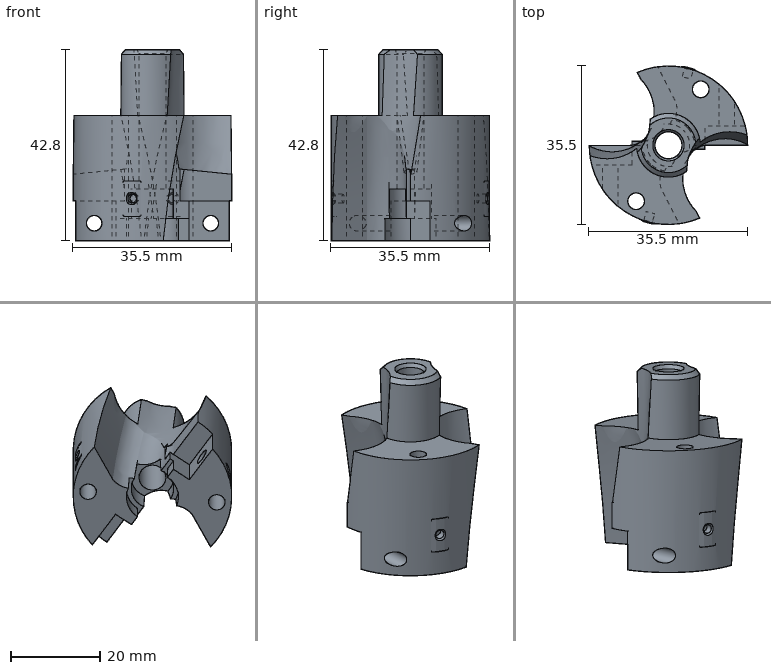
import cadquery as cq
import math

height = 42.75
body_height = 28.05
body_radius = 17.75
shank_radius = 7.15
shank_chamfer = 1.03
bore_radius = 3
bore_mouth_radius = 3.5
bore_mouth_depth = 0.85
wide_bore_depth = 5.0
stepped_bores = [(5.8, wide_bore_depth), (4.75, 11.65)]


twist_rate = 15 / body_height
flute_radius = 10.48
flute_centre_distance = 15.6
flute_angle_at_body_top = 151.5
flute_end_height = 16.68
flute_end_slope = 0.1

gullet_sweep_radius = 171.05
gullet_sweep_height = -17.1
gullet_wall_top = (1.65, 9.6)
gullet_wall_slope = 0.51
gullet_floor_middle = (1.9, 7.75)
gullet_floor_end = (0.85, 4.75)
gullet_fillet_radius = 5.8
gullet_lead_y = 0.9

seat_height = 16.08
seat_fillet_start = 6.2
seat_fillet_end = 8.55
pocket_height = 8.95
pocket_inner_x = 8.15
pocket_depth = 4.35
insert_hole_radius = 1.7
insert_hole_x = 13.05
insert_hole_z = 3.95

wing_hole_radius = 1.85
wing_hole_distance = 14.45
wing_hole_angle = 240

pad_angle = 255
pad_radius = 17.95
pad_half_width = 2.1
pad_crown_half_width = 1.0
pad_height = 7.95
pad_middle_z = 9.45
pad_corner_radius = 0.35
pad_hole_radius = 1.0
pad_hole_chamfer = 0.4
pad_hole_depth = 2.35

reach = 2 * body_radius


def both_sides(shape):
    """The shape and its copy half a turn about the part axis."""
    return shape.union(shape.rotate((0, 0, 0), (0, 0, 1), 180))


def blank():
    body = cq.Workplane().circle(body_radius).extrude(body_height)
    shank = cq.Workplane().circle(shank_radius).extrude(height).faces(">Z").chamfer(shank_chamfer)
    return body.union(shank)


def helical_flute():
    start_z = flute_end_height - flute_end_slope * reach
    start_angle = math.radians(flute_angle_at_body_top - twist_rate * (body_height - start_z))
    flute_height = height - start_z
    cutter = (
        cq.Workplane(origin=(0, 0, start_z))
        .moveTo(flute_centre_distance * math.cos(start_angle), flute_centre_distance * math.sin(start_angle))
        .circle(flute_radius)
        .twistExtrude(flute_height, twist_rate * flute_height)
    )
    below_end = (
        cq.Workplane("XZ")
        .polyline([(0, 0), (0, flute_end_height), (-reach, start_z), (-reach, 0)])
        .close()
        .extrude(reach, both=True)
    )
    return cutter.cut(below_end)


def gullet():
    shift = gullet_sweep_radius - math.sqrt(gullet_sweep_radius**2 - gullet_sweep_height**2)

    def at_start(x, y):
        return (x + shift, y)

    wall_x, wall_y = gullet_wall_top
    wall_end_x = wall_x - gullet_wall_slope * body_radius
    wall_end_y = wall_y + body_radius
    end_x, end_y = gullet_floor_end
    fillet_y = gullet_lead_y + gullet_fillet_radius
    fillet_x = end_x - math.sqrt(gullet_fillet_radius**2 - (fillet_y - end_y) ** 2)
    middle_angle = (math.atan2(end_y - fillet_y, end_x - fillet_x) - math.pi / 2) / 2
    fillet_middle = (
        fillet_x + gullet_fillet_radius * math.cos(middle_angle),
        fillet_y + gullet_fillet_radius * math.sin(middle_angle),
    )
    turn = math.degrees(math.asin((body_height - gullet_sweep_height) / (gullet_sweep_radius - reach)))
    outline = (
        cq.Workplane(origin=(0, 0, gullet_sweep_height))
        .moveTo(*at_start(wall_end_x, wall_end_y))
        .lineTo(*at_start(*gullet_wall_top))
        .threePointArc(at_start(*gullet_floor_middle), at_start(*gullet_floor_end))
        .threePointArc(at_start(*fillet_middle), at_start(fillet_x, gullet_lead_y))
        .lineTo(-reach, gullet_lead_y)
        .lineTo(-reach, wall_end_y)
        .close()
    )
    axis_x = shift - gullet_sweep_radius
    cutter = outline.revolve(turn, (axis_x, 0), (axis_x, -1))
    return cutter.intersect(cq.Workplane().circle(reach).extrude(body_height))


def insert_seat():
    run = seat_fillet_end - seat_fillet_start
    fillet_radius = (run**2 + gullet_lead_y**2) / (2 * gullet_lead_y)
    middle_x = run / 2
    middle_y = fillet_radius - math.sqrt(fillet_radius**2 - middle_x**2)
    seat = (
        cq.Workplane(origin=(0, 0, pocket_height))
        .moveTo(-seat_fillet_start, gullet_lead_y)
        .threePointArc((middle_x - seat_fillet_end, middle_y), (-seat_fillet_end, 0))
        .lineTo(-reach, 0)
        .lineTo(-reach, gullet_lead_y)
        .close()
        .extrude(seat_height - pocket_height)
    )
    pocket = (
        cq.Workplane()
        .moveTo(-reach, -pocket_depth)
        .lineTo(-pocket_inner_x, -pocket_depth)
        .lineTo(-pocket_inner_x, gullet_lead_y)
        .lineTo(-reach, gullet_lead_y)
        .close()
        .extrude(pocket_height)
    )
    ledge_step = (
        cq.Workplane()
        .box(pocket_inner_x, gullet_lead_y, wide_bore_depth, centered=False)
        .translate((-pocket_inner_x, 0, 0))
    )
    hole = (
        cq.Workplane("XZ", origin=(-insert_hole_x, 0, insert_hole_z))
        .circle(insert_hole_radius)
        .extrude(reach)
    )
    return seat.union(pocket).union(ledge_step).union(hole)


def wing_hole():
    angle = math.radians(wing_hole_angle)
    return (
        cq.Workplane()
        .moveTo(wing_hole_distance * math.cos(angle), wing_hole_distance * math.sin(angle))
        .circle(wing_hole_radius)
        .extrude(height)
    )


def placed_on_wing(shape):
    """Turns a shape built on the +X side to the pad's place."""
    return shape.translate((0, 0, pad_middle_z)).rotate((0, 0, 0), (0, 0, 1), pad_angle)


def pad():
    edge_x = math.sqrt(body_radius**2 - pad_half_width**2)
    crown_x = math.sqrt(pad_radius**2 - pad_crown_half_width**2)
    root_x = body_radius - pad_half_width
    ridge = (
        cq.Workplane(origin=(0, 0, -pad_height / 2))
        .moveTo(root_x, -pad_half_width)
        .lineTo(edge_x, -pad_half_width)
        .lineTo(crown_x, -pad_crown_half_width)
        .threePointArc((pad_radius, 0), (crown_x, pad_crown_half_width))
        .lineTo(edge_x, pad_half_width)
        .lineTo(root_x, pad_half_width)
        .close()
        .extrude(pad_height)
        .edges("|X")
        .fillet(pad_corner_radius)
    )
    return placed_on_wing(ridge)


def pad_hole():
    mouth_radius = pad_hole_radius + pad_hole_chamfer
    half_profile = (
        cq.Workplane("XZ")
        .moveTo(pad_radius - pad_hole_depth, 0)
        .lineTo(pad_radius - pad_hole_depth, pad_hole_radius)
        .lineTo(pad_radius - pad_hole_chamfer, pad_hole_radius)
        .lineTo(pad_radius, mouth_radius)
        .lineTo(pad_radius, 0)
        .close()
    )
    return placed_on_wing(half_profile.revolve(360, (0, 0), (1, 0)))


def centre_bore():
    bore = cq.Workplane().circle(bore_radius).extrude(height)
    for radius, depth in stepped_bores:
        bore = bore.union(cq.Workplane().circle(radius).extrude(depth))
    mouth = (
        cq.Workplane(origin=(0, 0, height))
        .circle(bore_mouth_radius)
        .workplane(offset=-bore_mouth_depth)
        .circle(bore_radius)
        .loft(ruled=True)
    )
    return bore.union(mouth)


result = blank().union(both_sides(pad()))
for cutter in (helical_flute(), gullet(), insert_seat(), wing_hole(), pad_hole()):
    result = result.cut(cutter)
    result = result.cut(cutter.rotate((0, 0, 0), (0, 0, 1), 180))
result = result.cut(centre_bore())